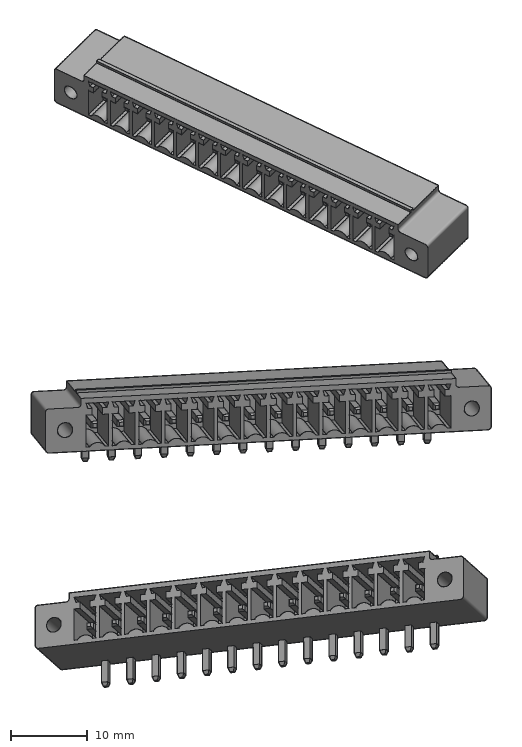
import cadquery as cq


length = 59.3
depth = 9.2
flange_height = 5.95
block_length = 49.9
block_height = 7.15
flange_edge_radius = 0.4
flange_bottom_radius = 0.5
block_foot_radius = 0.4

overall_height = 10.95
rib_height = 0.35
rib_width = 0.5
rib_front = 2.9

insert_diameter = 4.0
screw_hole_diameter = 2.0
screw_hole_depth = 6.0
screw_hole_inset = 2.6
screw_hole_z = 3.0

contact_count = 14
pitch = 3.5
pin_width = 0.9
pin_tip_width = 0.5
pin_tip_length = 0.5
contact_z = 3.0
contact_tip_y = 1.5
leg_inset = 1.2
leg_y = depth - leg_inset
leg_bottom = block_height + rib_height - overall_height

pocket_depth = 7.0
pocket_half_width = 1.5
pocket_floor = 0.55
hump_half_base = 1.05
hump_top = 1.1
notch_half_width = 0.7
notch_bottom = 4.85
notch_top = 5.75
dovetail_half_bottom = 1.25
dovetail_half_top = 1.5
pocket_top = 6.45


def front_plane(y):
    """Sketch plane facing the front at depth y: local x is X, local y is Z, normal is -Y."""
    return cq.Workplane("XZ", origin=(0, y, 0))


def make_housing():
    flanges = cq.Workplane("XY").box(length, depth, flange_height, centered=(True, False, False))
    flanges = flanges.edges("|Y and >Z").fillet(flange_edge_radius)
    flanges = flanges.edges("|Y and <Z").fillet(flange_bottom_radius)
    block = cq.Workplane("XY").box(block_length, depth, block_height, centered=(True, False, False))
    rib = (
        cq.Workplane("XY", origin=(0, rib_front, block_height))
        .box(block_length, rib_width, rib_height, centered=(True, False, False))
    )
    housing = flanges.union(block)
    for side in (-1, 1):
        housing = housing.union(make_block_foot(side))
    return housing.union(rib)


def make_block_foot(side):
    """Concave round between a flange top and the end of the block."""
    block_end = side * block_length / 2
    foot_end = block_end + side * block_foot_radius
    foot_top = flange_height + block_foot_radius
    bend = block_foot_radius * (1 - 0.5 ** 0.5)
    return (
        front_plane(0)
        .moveTo(block_end, flange_height)
        .lineTo(foot_end, flange_height)
        .threePointArc((block_end + side * bend, flange_height + bend), (block_end, foot_top))
        .close()
        .extrude(-depth)
    )


def make_insert_bore(x):
    return front_plane(0).center(x, screw_hole_z).circle(insert_diameter / 2).extrude(-screw_hole_depth)


def make_insert(x):
    """Threaded insert sleeve that fills its bore flush with the flange front."""
    return (
        front_plane(0)
        .center(x, screw_hole_z)
        .circle(insert_diameter / 2)
        .circle(screw_hole_diameter / 2)
        .extrude(-screw_hole_depth)
    )


def make_pocket(x):
    """Keyed pocket with dovetail keyways at the top and a rounded hump on its floor."""
    right_half = [
        (hump_half_base, pocket_floor),
        (pocket_half_width, pocket_floor),
        (pocket_half_width, notch_bottom),
        (notch_half_width, notch_bottom),
        (notch_half_width, notch_top),
        (dovetail_half_bottom, notch_top),
        (dovetail_half_top, pocket_top),
    ]
    left_half = [(-px, pz) for px, pz in reversed(right_half)]
    outline = [(x + px, pz) for px, pz in right_half + left_half]
    right_base = outline[0]
    return (
        front_plane(0)
        .polyline(outline)
        .threePointArc((x, hump_top), right_base)
        .close()
        .extrude(-pocket_depth)
    )


def make_pin(start_plane, pin_length):
    """Square pin along the plane normal, ending in a tapered tip."""
    shank_length = pin_length - pin_tip_length
    shank = start_plane.rect(pin_width, pin_width).extrude(shank_length)
    tip = (
        start_plane.workplane(offset=shank_length)
        .rect(pin_width, pin_width)
        .workplane(offset=pin_tip_length)
        .rect(pin_tip_width, pin_tip_width)
        .loft(combine=False)
    )
    return shank.union(tip)


def make_contact(x):
    """Bent contact: a blade reaching forward into the pocket and a leg reaching down."""
    bend_back = leg_y + pin_width / 2
    bend_top = contact_z + pin_width / 2
    blade = make_pin(front_plane(bend_back).center(x, contact_z), bend_back - contact_tip_y)
    leg_start = cq.Workplane("XY", origin=(x, leg_y, bend_top)).transformed(rotate=(180, 0, 0))
    return blade.union(make_pin(leg_start, bend_top - leg_bottom))


screw_hole_x = length / 2 - screw_hole_inset
contact_xs = [(i - (contact_count - 1) / 2) * pitch for i in range(contact_count)]

result = make_housing()
for contact_x in contact_xs:
    result = result.cut(make_pocket(contact_x))
for contact_x in contact_xs:
    result = result.union(make_contact(contact_x))

for insert_x in (-screw_hole_x, screw_hole_x):
    result = result.cut(make_insert_bore(insert_x), clean=False)
    result = result.union(make_insert(insert_x), clean=False)